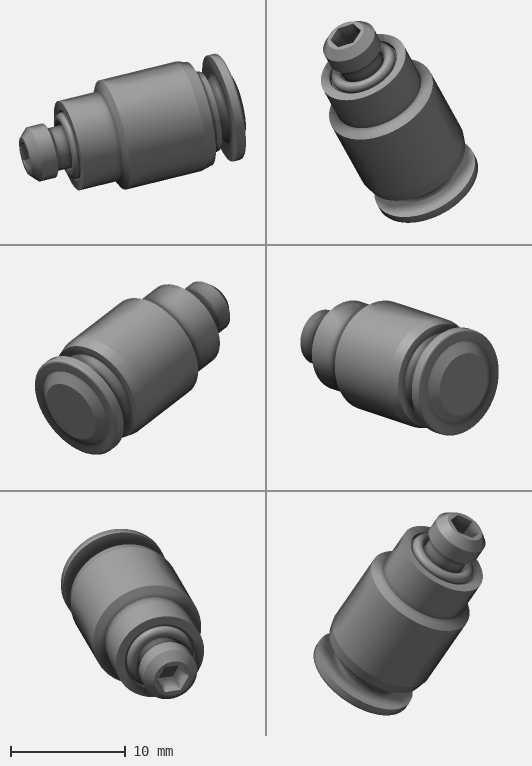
import cadquery as cq
import math

total_length = 19.4

plug_radius = 2.45
tip_chamfer = 0.74
plug_shoulder_y = 2.17
neck_start_y = 2.48
neck_radius = 1.92

socket_across_flats = 2.5
socket_depth = 2.5

sleeve_start_y = 4.0
sleeve_end_y = 7.5
sleeve_radius = 4.02
body_start_y = 8.01
body_end_y = 15.0
body_radius = 9.84 / 2
body_face_y = 16.0
body_face_radius = 4.65

collar_base_radius = 3.85
collar_face_radius = 3.55
collar_face_y = 16.94

stem_radius = 2.74
flange_start_y = 17.93
flare_radius = 0.48
flange_radius = 4.77
flange_face_y = 18.8
flange_round = 0.23
button_cone_radius = 3.72
button_face_radius = 2.8

recess_radius = 3.2
recess_depth = 0.5
ring_section_radius = 0.5
ring_neck_gap = 0.05
seat_overlap = 0.02
ring_center_radius = neck_radius + ring_neck_gap + ring_section_radius
ring_center_y = sleeve_start_y + recess_depth - ring_section_radius + seat_overlap


def turned_body():
    """Revolve the half profile, given as (radius, Y) points, about the Y axis."""
    recess_floor_y = sleeve_start_y + recess_depth
    half_profile = (
        cq.Workplane("XY")
        .moveTo(0, 0)
        .lineTo(plug_radius - tip_chamfer, 0)
        .lineTo(plug_radius, tip_chamfer)
        .lineTo(plug_radius, plug_shoulder_y)
        .lineTo(neck_radius, neck_start_y)
        .lineTo(neck_radius, recess_floor_y)
        .lineTo(recess_radius, recess_floor_y)
        .lineTo(recess_radius, sleeve_start_y)
        .lineTo(sleeve_radius, sleeve_start_y)
        .lineTo(sleeve_radius, sleeve_end_y)
        .lineTo(body_radius, body_start_y)
        .lineTo(body_radius, body_end_y)
        .lineTo(body_face_radius, body_face_y)
        .lineTo(collar_base_radius, body_face_y)
        .lineTo(collar_face_radius, collar_face_y)
        .lineTo(stem_radius, collar_face_y)
        .lineTo(stem_radius, flange_start_y - flare_radius)
        .radiusArc((stem_radius + flare_radius, flange_start_y), flare_radius)
        .lineTo(flange_radius, flange_start_y)
        .lineTo(flange_radius, flange_face_y - flange_round)
        .radiusArc((flange_radius - flange_round, flange_face_y), -flange_round)
        .lineTo(button_cone_radius, flange_face_y)
        .lineTo(button_face_radius, total_length)
        .lineTo(0, total_length)
        .close()
    )
    return half_profile.revolve(360, (0, 0, 0), (0, 1, 0))


def seal_ring():
    section = cq.Workplane("XY").center(ring_center_radius, ring_center_y).circle(ring_section_radius)
    return section.revolve(360, (-ring_center_radius, 0, 0), (-ring_center_radius, 1, 0))


def key_socket():
    across_corners = socket_across_flats / math.cos(math.pi / 6)
    hexagon = cq.Workplane("XZ").polygon(6, across_corners)
    return hexagon.extrude(-socket_depth)


result = turned_body().union(seal_ring()).cut(key_socket())